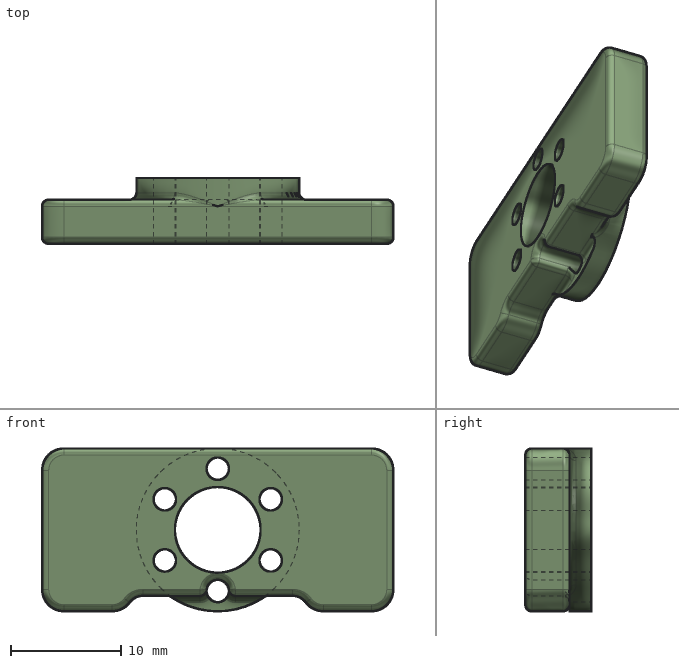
import cadquery as cq
import math

plate_length = 31.85
plate_height = 14.77
plate_thickness = 4.0
plate_corner_radius = 2.0
edge_radius = 0.6

recess_depth = 1.4
recess_start = 9.58
recess_outer_radius = 2.0
recess_inner_radius = 1.5

boss_diameter = plate_height
boss_height = 1.97

bore_diameter = 7.75
screw_diameter = 2.0
screw_circle_radius = 5.55
screw_count = 6

notch_radius = screw_diameter / 2
notch_corner_radius = 0.65

half_length = plate_length / 2
half_height = plate_height / 2
boss_radius = boss_diameter / 2
recess_z = recess_depth - half_height
total_depth = plate_thickness + boss_height
boss_root = plate_thickness - edge_radius

notch_corner_z = recess_z + notch_corner_radius
corner_rise = notch_corner_z + screw_circle_radius
corner_reach = notch_radius + notch_corner_radius
notch_corner_x = math.sqrt(corner_reach**2 - corner_rise**2)


def cylinder(diameter, start, end, x=0, z=0):
    """Round bar along Y between two Y positions."""
    frame = cq.Workplane("XZ", origin=(x, start, z))
    return frame.circle(diameter / 2).extrude(start - end)


def plate_blank():
    """Plate with its full outline and sharp front and back edges."""
    swing = math.acos(1 - recess_depth / (recess_outer_radius + recess_inner_radius))
    joint_x = recess_start - recess_outer_radius * math.sin(swing)
    joint_z = -half_height + recess_outer_radius * (1 - math.cos(swing))
    recess_end = joint_x - recess_inner_radius * math.sin(swing)

    touch_x = notch_corner_x * notch_radius / corner_reach
    touch_z = -screw_circle_radius + corner_rise * notch_radius / corner_reach
    notch_top = notch_radius - screw_circle_radius

    side = plate_corner_radius
    outline = (
        cq.Workplane("XZ")
        .moveTo(0, half_height)
        .lineTo(half_length - side, half_height)
        .tangentArcPoint((half_length, half_height - side), relative=False)
        .lineTo(half_length, side - half_height)
        .tangentArcPoint((half_length - side, -half_height), relative=False)
        .lineTo(recess_start, -half_height)
        .tangentArcPoint((joint_x, joint_z), relative=False)
        .tangentArcPoint((recess_end, recess_z), relative=False)
        .lineTo(notch_corner_x, recess_z)
        .tangentArcPoint((touch_x, touch_z), relative=False)
        .tangentArcPoint((0, notch_top), relative=False)
        .mirrorY()
    )
    return outline.extrude(-plate_thickness)


def wall_fillet():
    """Concave fillet where the recess and notch walls meet the face of the boss."""
    hollow = edge_radius * (1 - math.sqrt(0.5))
    hollow_y = plate_thickness - hollow

    straight = (
        cq.Workplane("YZ", origin=(-boss_radius, 0, recess_z))
        .moveTo(boss_root, 0)
        .threePointArc((hollow_y, -hollow), (plate_thickness, -edge_radius))
        .lineTo(plate_thickness, 0)
        .close()
        .extrude(boss_diameter)
    )
    notch_gap = cq.Workplane("XY").box(2 * notch_corner_x, 2 * total_depth, plate_height)
    fillet = straight.cut(notch_gap)

    wall = notch_corner_radius
    for x in (-notch_corner_x, notch_corner_x):
        ring = (
            cq.Workplane("XY", origin=(x, 0, notch_corner_z))
            .moveTo(wall, boss_root)
            .threePointArc((wall + hollow, hollow_y), (wall + edge_radius, plate_thickness))
            .lineTo(wall, plate_thickness)
            .close()
            .revolve(360, (0, 0, 0), (0, 1, 0))
        )
        fillet = fillet.union(ring)
    return fillet


def boss_rim(body):
    """Edges where the side of the boss rises from the back of the plate."""
    tolerance = 0.03
    flat_y = plate_thickness - tolerance
    rim = []
    for edge in body.edges().vals():
        box = edge.BoundingBox()
        on_back = box.ymin > boss_root - tolerance and box.ymax < plate_thickness + tolerance
        boss_arc = edge.geomType() == "CIRCLE" and abs(edge.radius() - boss_radius) < tolerance
        flat_arc = boss_arc and box.ymin > flat_y
        if on_back and (flat_arc or edge.geomType() == "BSPLINE"):
            rim.append(edge)
    return rim


blank = plate_blank()
rounded = blank.faces("<Y").edges().fillet(edge_radius)
rounded = rounded.faces(">Y").edges().fillet(edge_radius)

body = rounded.union(cylinder(boss_diameter, boss_root, total_depth))
body = body.newObject(boss_rim(body)).fillet(edge_radius)

root = cylinder(boss_diameter, boss_root, plate_thickness)
body = body.cut(root.cut(blank))
body = body.union(wall_fillet().intersect(cylinder(boss_diameter, 0, total_depth)))

body = body.cut(cylinder(bore_diameter, 0, total_depth))
for index in range(screw_count):
    angle = math.radians(90 + 360 / screw_count * index)
    hole_x = screw_circle_radius * math.cos(angle)
    hole_z = screw_circle_radius * math.sin(angle)
    body = body.cut(cylinder(screw_diameter, 0, total_depth, hole_x, hole_z))

result = body